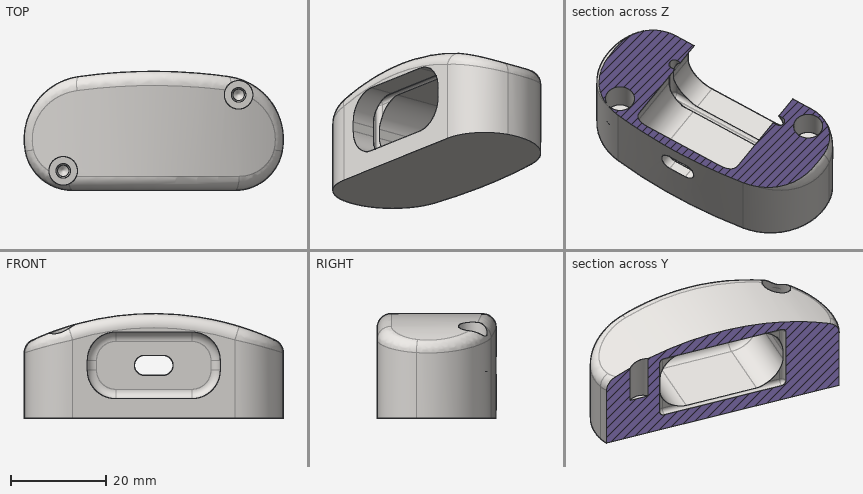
import cadquery as cq
import math

LENGTH = 54.35
DEPTH = 25.0
HEIGHT = 21.95
FRONT_CORNER_RADIUS = 10.1
BACK_CORNER_RADIUS = 13.3
BACK_BOW_RADIUS = 112.45
CROWN_RADIUS = 60.85
TOP_FILLET = 3.0

WINDOW_LENGTH = 27.85
WINDOW_HEIGHT = 13.95
WINDOW_CORNER_RADIUS = 6.0
WINDOW_CENTER_Z = 11.1
WINDOW_FLOOR_FILLET = 1.95
BACK_WALL = 2.2

GROOVE_WIDTH = 2.05
GROOVE_DEPTH = 0.3
GROOVE_CENTER = 6.35
GROOVE_EDGE_RADIUS = 1.0

SLOT_LENGTH = 8.05
SLOT_HEIGHT = 4.15

SCREW_POSITIONS = [(-18.95, -8.35), (17.75, 7.55)]
COUNTERBORE_DIAMETER = 6.0
COUNTERBORE_FLOOR_Z = 9.8
HOLE_DIAMETER = 2.4
HOLE_CHAMFER = 0.3
HOLE_DEPTH = 5.45
DRILL_POINT_ANGLE = 118.0

FRONT_Y = -DEPTH / 2
BACK_Y = DEPTH / 2
END_X = LENGTH / 2


def on_circle(center, radius, angle):
    """Point on a circle at an angle in radians from +X."""
    return (center[0] + radius * math.cos(angle), center[1] + radius * math.sin(angle))


def mirrored(point):
    """The same point on the -X side."""
    return (-point[0], point[1])


def body():
    bow_center_y = BACK_Y - BACK_BOW_RADIUS
    back_center_x = END_X - BACK_CORNER_RADIUS
    back_center_rise = math.sqrt((BACK_BOW_RADIUS - BACK_CORNER_RADIUS) ** 2 - back_center_x**2)
    back_center = (back_center_x, bow_center_y + back_center_rise)

    front_center_y = FRONT_Y + FRONT_CORNER_RADIUS
    center_drop = back_center[1] - front_center_y
    center_shift = math.sqrt((BACK_CORNER_RADIUS - FRONT_CORNER_RADIUS) ** 2 - center_drop**2)
    front_center = (back_center_x + center_shift, front_center_y)

    front_angle = math.radians(-90)
    side_angle = -math.atan2(center_drop, center_shift)
    bow_angle = math.atan2(back_center_rise, back_center_x)

    straight_end = (front_center[0], FRONT_Y)
    front_mid = on_circle(front_center, FRONT_CORNER_RADIUS, (front_angle + side_angle) / 2)
    side = on_circle(front_center, FRONT_CORNER_RADIUS, side_angle)
    back_mid = on_circle(back_center, BACK_CORNER_RADIUS, (side_angle + bow_angle) / 2)
    bow_end = on_circle(back_center, BACK_CORNER_RADIUS, bow_angle)

    blank = (
        cq.Workplane("XY")
        .moveTo(*mirrored(straight_end))
        .lineTo(*straight_end)
        .threePointArc(front_mid, side)
        .threePointArc(back_mid, bow_end)
        .threePointArc((0, BACK_Y), mirrored(bow_end))
        .threePointArc(mirrored(back_mid), mirrored(side))
        .threePointArc(mirrored(front_mid), mirrored(straight_end))
        .close()
        .extrude(HEIGHT)
    )
    crown = (
        cq.Workplane("XZ", origin=(0, BACK_Y, HEIGHT - CROWN_RADIUS))
        .circle(CROWN_RADIUS)
        .extrude(DEPTH)
    )
    return blank.intersect(crown).faces(">Z").edges().fillet(TOP_FILLET)


def window():
    length = DEPTH - BACK_WALL
    return (
        cq.Workplane("XY")
        .box(WINDOW_LENGTH, length, WINDOW_HEIGHT)
        .edges("|Y")
        .fillet(WINDOW_CORNER_RADIUS)
        .faces(">Y")
        .edges()
        .fillet(WINDOW_FLOOR_FILLET)
        .translate((0, FRONT_Y + length / 2, WINDOW_CENTER_Z))
    )


def groove():
    return (
        cq.Workplane("XY")
        .box(WINDOW_LENGTH + 2 * GROOVE_DEPTH, GROOVE_WIDTH, WINDOW_HEIGHT + 2 * GROOVE_DEPTH)
        .edges()
        .fillet(GROOVE_EDGE_RADIUS)
        .translate((0, FRONT_Y + GROOVE_CENTER, WINDOW_CENTER_Z))
    )


def cable_slot():
    return (
        cq.Workplane("XZ", origin=(0, BACK_Y, WINDOW_CENTER_Z))
        .slot2D(SLOT_LENGTH, SLOT_HEIGHT)
        .extrude(2 * BACK_WALL)
    )


def screw_hole(x, y):
    hole_radius = HOLE_DIAMETER / 2
    hole_end_z = COUNTERBORE_FLOOR_Z - HOLE_DEPTH
    point_depth = hole_radius / math.tan(math.radians(DRILL_POINT_ANGLE / 2))
    return (
        cq.Workplane("XZ", origin=(x, y, 0))
        .moveTo(0, HEIGHT)
        .lineTo(COUNTERBORE_DIAMETER / 2, HEIGHT)
        .lineTo(COUNTERBORE_DIAMETER / 2, COUNTERBORE_FLOOR_Z)
        .lineTo(hole_radius + HOLE_CHAMFER, COUNTERBORE_FLOOR_Z)
        .lineTo(hole_radius, COUNTERBORE_FLOOR_Z - HOLE_CHAMFER)
        .lineTo(hole_radius, hole_end_z)
        .lineTo(0, hole_end_z - point_depth)
        .close()
        .revolve(360, (0, 0), (0, 1))
    )


result = body().cut(window()).cut(groove()).cut(cable_slot())
for x, y in SCREW_POSITIONS:
    result = result.cut(screw_hole(x, y))